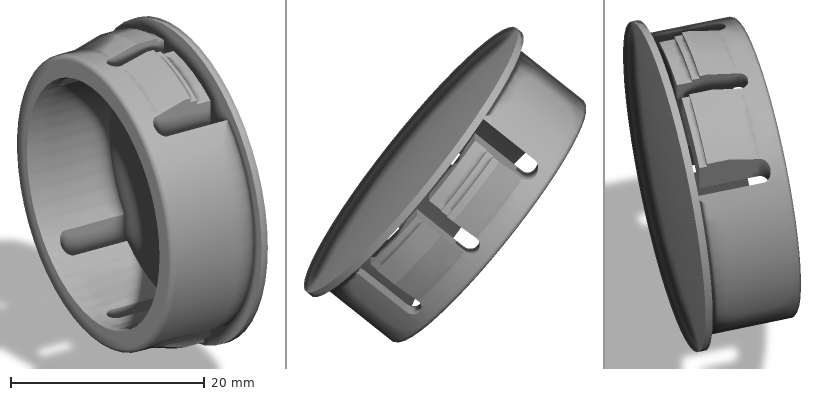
import cadquery as cq

flange_radius = 17.45
flange_thickness = 0.77
dome_height = 0.85
barrel_radius = 15.9
bore_radius = 13.5
barrel_length = 9.9
rim_round = 0.52

slot_width = 2.0
slot_spacing = 9.5
slot_end_from_rim = 2.75

tab_gap = 0.85
tab_peak_radius = 16.75
step_length = 0.8
step_height = 0.4
peak_end_steps = 4

rim_y = -barrel_length
slot_end_y = rim_y + slot_end_from_rim
tab_end_y = -tab_gap
peak_end_y = tab_end_y - peak_end_steps * step_length
tab_width = slot_spacing - slot_width
window_width = 2 * slot_spacing + slot_width
through_height = 2 * flange_radius


def revolve_about_y(profile):
    return profile.close().revolve(360, (0, 0, 0), (0, 1, 0))


def make_cap():
    """Flange disc with a shallow spherical dome on its outer face."""
    apex_y = flange_thickness + dome_height
    sphere_radius = (flange_radius**2 + dome_height**2) / (2 * dome_height)
    mid_x = flange_radius / 2
    mid_y = apex_y - sphere_radius + (sphere_radius**2 - mid_x**2) ** 0.5
    profile = (
        cq.Workplane("XY")
        .lineTo(flange_radius, 0)
        .lineTo(flange_radius, flange_thickness)
        .threePointArc((mid_x, mid_y), (0, apex_y))
    )
    return revolve_about_y(profile)


def make_barrel():
    """Plain tube with a rounded outer rim."""
    profile = (
        cq.Workplane("XY")
        .moveTo(bore_radius, 0)
        .lineTo(barrel_radius, 0)
        .lineTo(barrel_radius, rim_y + rim_round)
        .radiusArc((barrel_radius - rim_round, rim_y), rim_round)
        .lineTo(bore_radius, rim_y)
    )
    return revolve_about_y(profile)


def make_window():
    """Cutter that opens the barrel top and bottom, leaving room for the tabs and slots."""
    window = cq.Workplane("XY").box(
        window_width, -slot_end_y, through_height, centered=(True, False, True)
    )
    return window.translate((0, slot_end_y, 0))


def make_slot_ends():
    """Cutter for the round ends of the three slots on each side."""
    return (
        cq.Workplane("XY")
        .pushPoints([(side * slot_spacing, slot_end_y) for side in (-1, 0, 1)])
        .circle(slot_width / 2)
        .extrude(through_height / 2, both=True)
    )


def make_latch_ring(step_positions):
    """Full ring of latch profile, with a radial drop at each given step count from the free end."""
    profile = cq.Workplane("XY").moveTo(bore_radius, slot_end_y)
    profile = profile.lineTo(barrel_radius, slot_end_y)
    profile = profile.lineTo(tab_peak_radius, peak_end_y)
    radius = tab_peak_radius
    for position in step_positions:
        step_y = tab_end_y - position * step_length
        profile = profile.lineTo(radius, step_y)
        radius -= step_height
        profile = profile.lineTo(radius, step_y)
    profile = profile.lineTo(radius, tab_end_y).lineTo(bore_radius, tab_end_y)
    return revolve_about_y(profile)


def make_tab(ring, x_side, z_side):
    """Piece of the latch ring between the middle slot and an outer slot."""
    keep = cq.Workplane("XY").box(tab_width, barrel_length, flange_radius)
    keep = keep.translate((x_side * slot_spacing / 2, -barrel_length / 2, z_side * flange_radius / 2))
    return ring.intersect(keep)


result = make_barrel().cut(make_window()).cut(make_slot_ends()).union(make_cap())

single_step_ring = make_latch_ring([1])
double_step_ring = make_latch_ring([3, 2])
for side in (-1, 1):
    result = result.union(make_tab(single_step_ring, side, -side))
    result = result.union(make_tab(double_step_ring, side, side))